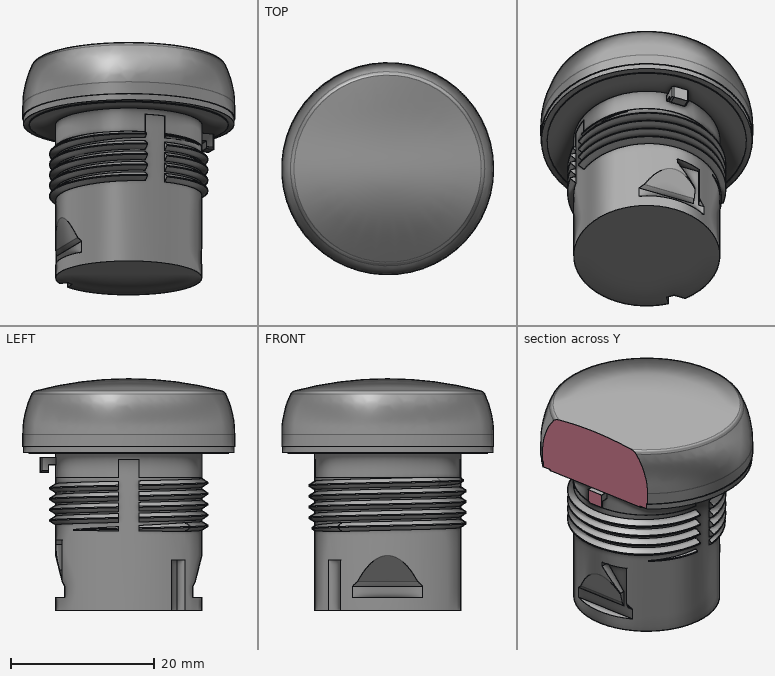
import cadquery as cq
import math

HEAD_RADIUS = 14.8
TOTAL_HEIGHT = 32.37
SEAL_BOTTOM = 21.9
SEAL_RADIUS = 13.9
RIM_BOTTOM = 22.05
RIM_TOP = 22.9
RIM_RADIUS = 14.7
BULGE_BOTTOM = 24.6
BULGE_TOP = 30.2
BULGE_TOP_RADIUS = 13.55
DOME_EDGE_HEIGHT = 30.65
DOME_EDGE_RADIUS = 13.06

BODY_RADIUS = 10.2
COLLAR_RADIUS = 10.25
COLLAR_BOTTOM = 18.6

PITCH = 1.5
CREST_RADIUS = 11.05
CREST_WIDTH = 0.15
ROOT_WIDTH = 1.25
THREAD_EMBED = 0.05
FULL_START_ANGLE = 231.0
FULL_START_HEIGHT = 11.68
FULL_TURNS = 4.225
TAPER_ANGLE = 100.0

KEY_SLOT_WIDTH = 2.9
KEY_SLOT_BOTTOM = 10.5
KEY_SLOT_TOP = 21.1

POCKET_FLOOR = 8.95
POCKET_BOTTOM = 1.86
POCKET_FLOOR_TOP = 3.4
POCKET_KINK_HEIGHT = 4.05
POCKET_KINK = 9.28
POCKET_TOP = 7.7

NOTCH_HEIGHT = 7.06
NOTCH_INNER_START = (-6.6, -5.95)
NOTCH_INNER_END = (-5.8, -6.75)
NOTCH_MOUTH_START = (-8.26, -5.95)
NOTCH_MOUTH_END = (-6.55, -7.8)
NOTCH_OVERRUN = 3.0

GROOVE_LEFT = -4.1
GROOVE_TOP = 9.84
RAMP_TOP_X = -0.4
RAMP_TOP_HEIGHT = 9.25
RAMP_FOOT_X = -3.3
RAMP_FOOT_HEIGHT = 5.7

HOOK_WIDTH = 2.5
HOOK_OUTER = 12.36
HOOK_INNER = 11.17
HOOK_TOP = 21.4
HOOK_ARM_BOTTOM = 20.35
HOOK_TIP = 19.3
HOOK_CHAMFER = 0.23

CUT_CLEARANCE = 2.0


def make_head():
    """Revolve the cap profile about Z."""
    dome_rise = TOTAL_HEIGHT - DOME_EDGE_HEIGHT
    dome_radius = (DOME_EDGE_RADIUS**2 + dome_rise**2) / (2 * dome_rise)
    dome_half_angle = math.asin(DOME_EDGE_RADIUS / dome_radius) / 2
    dome_middle = (
        dome_radius * math.sin(dome_half_angle),
        TOTAL_HEIGHT - dome_radius * (1 - math.cos(dome_half_angle)),
    )
    return (
        cq.Workplane("XZ")
        .moveTo(0, SEAL_BOTTOM)
        .lineTo(SEAL_RADIUS, SEAL_BOTTOM)
        .lineTo(SEAL_RADIUS, RIM_BOTTOM)
        .lineTo(RIM_RADIUS, RIM_BOTTOM)
        .lineTo(RIM_RADIUS, RIM_TOP)
        .lineTo(HEAD_RADIUS, RIM_TOP)
        .lineTo(HEAD_RADIUS, BULGE_BOTTOM)
        .tangentArcPoint((BULGE_TOP_RADIUS, BULGE_TOP), relative=False)
        .tangentArcPoint((DOME_EDGE_RADIUS, DOME_EDGE_HEIGHT), relative=False)
        .threePointArc(dome_middle, (0, TOTAL_HEIGHT))
        .close()
        .revolve(360, (0, 0, 0), (0, 1, 0))
    )


def sweep_ridge(start_angle, start_height, turn_angle, start_crest, end_crest):
    """Sweep one ridge whose crest follows a helix with its radius running from start_crest to end_crest."""
    rise = PITCH * turn_angle / 360
    if start_crest == end_crest:
        helix = cq.Wire.makeHelix(PITCH, rise, start_crest)
    else:
        cone_angle = math.atan2(end_crest - start_crest, rise)
        slant = 1 / math.cos(cone_angle)
        helix = cq.Wire.makeHelix(PITCH * slant, rise * slant, start_crest, angle=math.degrees(cone_angle))
    depth = CREST_RADIUS - BODY_RADIUS + THREAD_EMBED
    flank_slope = (ROOT_WIDTH - CREST_WIDTH) / 2 / (CREST_RADIUS - BODY_RADIUS)
    half_crest = CREST_WIDTH / 2
    half_base = half_crest + flank_slope * depth
    base = start_crest - depth
    return (
        cq.Workplane("XZ")
        .polyline(
            [
                (base, -half_base),
                (start_crest, -half_crest),
                (start_crest, half_crest),
                (base, half_base),
            ]
        )
        .close()
        .sweep(cq.Workplane(helix), isFrenet=True)
        .rotate((0, 0, 0), (0, 0, 1), start_angle)
        .translate((0, 0, start_height))
    )


def make_thread():
    """Full-depth thread with a tapered ridge at each end."""
    faded_crest = BODY_RADIUS
    taper_rise = PITCH * TAPER_ANGLE / 360
    full_angle = 360 * FULL_TURNS
    full_end_height = FULL_START_HEIGHT + PITCH * FULL_TURNS
    run_in = sweep_ridge(
        FULL_START_ANGLE - TAPER_ANGLE,
        FULL_START_HEIGHT - taper_rise,
        TAPER_ANGLE,
        faded_crest,
        CREST_RADIUS,
    )
    full = sweep_ridge(FULL_START_ANGLE, FULL_START_HEIGHT, full_angle, CREST_RADIUS, CREST_RADIUS)
    run_out = sweep_ridge(
        FULL_START_ANGLE + full_angle,
        full_end_height,
        TAPER_ANGLE,
        CREST_RADIUS,
        faded_crest,
    )
    return [run_in, full, run_out]


def make_shank():
    """Body with collar and thread, both interrupted by the two key slots."""
    body = cq.Workplane("XY").circle(BODY_RADIUS).extrude(SEAL_BOTTOM)
    collar = (
        cq.Workplane("XY", origin=(0, 0, COLLAR_BOTTOM))
        .circle(COLLAR_RADIUS)
        .extrude(SEAL_BOTTOM - COLLAR_BOTTOM)
    )
    key_slots = (
        cq.Workplane("XY", origin=(0, 0, KEY_SLOT_BOTTOM))
        .rect(2 * (CREST_RADIUS + CUT_CLEARANCE), KEY_SLOT_WIDTH)
        .extrude(KEY_SLOT_TOP - KEY_SLOT_BOTTOM)
    )
    shank = body
    for sleeve in [collar] + make_thread():
        shank = shank.union(sleeve.cut(key_slots))
    return shank


def make_latch_pocket():
    """Pocket on the -Y side with a flat floor and two overhanging slopes above it."""
    outside = -(BODY_RADIUS + CUT_CLEARANCE)
    return (
        cq.Workplane("YZ")
        .polyline(
            [
                (outside, POCKET_BOTTOM),
                (-POCKET_FLOOR, POCKET_BOTTOM),
                (-POCKET_FLOOR, POCKET_FLOOR_TOP),
                (-POCKET_KINK, POCKET_KINK_HEIGHT),
                (-BODY_RADIUS, POCKET_TOP),
                (outside, POCKET_TOP),
            ]
        )
        .close()
        .extrude(BODY_RADIUS, both=True)
    )


def extend_past(inner, mouth):
    """Point on the line from inner through mouth, beyond the mouth by NOTCH_OVERRUN."""
    length = math.dist(inner, mouth)
    return tuple(m + NOTCH_OVERRUN * (m - i) / length for i, m in zip(inner, mouth))


def make_notch():
    """Upright notch in the lower end, opening towards (-X, -Y)."""
    return (
        cq.Workplane("XY")
        .polyline(
            [
                NOTCH_INNER_START,
                NOTCH_INNER_END,
                extend_past(NOTCH_INNER_END, NOTCH_MOUTH_END),
                extend_past(NOTCH_INNER_START, NOTCH_MOUTH_START),
            ]
        )
        .close()
        .extrude(NOTCH_HEIGHT)
    )


def make_ramp_groove():
    """Shallow groove on the +Y side whose inner edge slopes down to the latch pocket."""
    return (
        cq.Workplane("XZ", origin=(0, POCKET_FLOOR, 0))
        .polyline(
            [
                (GROOVE_LEFT, POCKET_FLOOR_TOP),
                (GROOVE_LEFT, GROOVE_TOP),
                (RAMP_TOP_X, GROOVE_TOP),
                (RAMP_TOP_X, RAMP_TOP_HEIGHT),
                (RAMP_FOOT_X, RAMP_FOOT_HEIGHT),
                (RAMP_FOOT_X, POCKET_FLOOR_TOP),
            ]
        )
        .close()
        .extrude(-CUT_CLEARANCE)
    )


def make_hook():
    """L-shaped hook reaching out in +Y and turning down."""
    root = BODY_RADIUS - CUT_CLEARANCE
    return (
        cq.Workplane("YZ")
        .polyline(
            [
                (root, HOOK_TOP),
                (HOOK_OUTER, HOOK_TOP),
                (HOOK_OUTER, HOOK_TIP),
                (HOOK_INNER, HOOK_TIP),
                (HOOK_INNER, HOOK_ARM_BOTTOM),
                (root, HOOK_ARM_BOTTOM),
            ]
        )
        .close()
        .extrude(HOOK_WIDTH / 2, both=True)
        .faces("<X or >X")
        .edges(">Y or <Z")
        .chamfer(HOOK_CHAMFER)
    )


pocket = make_latch_pocket()
shank = make_shank().cut(pocket).cut(pocket.mirror("XZ")).cut(make_notch()).cut(make_ramp_groove())
result = make_head().union(shank).union(make_hook()).solids()